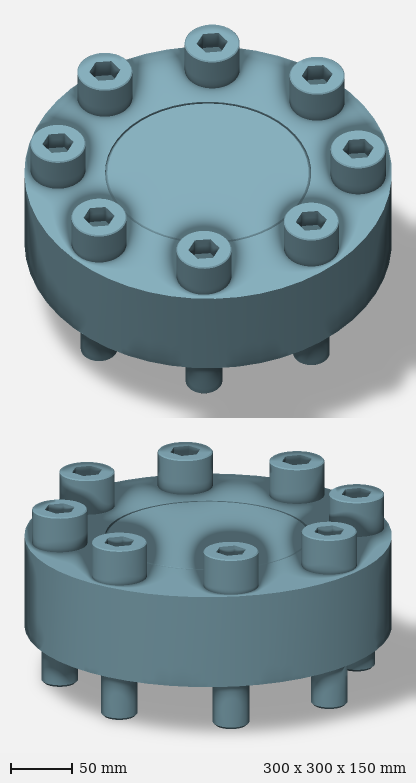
import cadquery as cq

flange_diameter = 300.0
flange_thickness = 78.0

boss_diameter = 205.0
boss_height = 3.5

plug_diameter = 168.3
plug_chamfer = 2.0

bolt_count = 8
bolt_circle_diameter = 245.0
bolt_diameter = 30.0
bolt_end_chamfer = 2.0
head_diameter = 1.5 * bolt_diameter
head_height = bolt_diameter
head_chamfer = 1.0
socket_width_across_corners = 25.5
socket_depth = 15.5

overall_height = 150.0
shank_length = overall_height - head_height


def flange():
    """Disc with the low boss on its underside."""
    disc = cq.Workplane("XY").circle(flange_diameter / 2).extrude(-flange_thickness)
    boss_length = flange_thickness + boss_height
    boss = cq.Workplane("XY").circle(boss_diameter / 2).extrude(-boss_length)
    return disc.union(boss)


def plug_groove():
    """Ring cut with a vertical outer wall; its inner wall is the plug chamfer."""
    outer_radius = plug_diameter / 2
    return (
        cq.Workplane("XZ")
        .moveTo(outer_radius, 0)
        .lineTo(outer_radius, -plug_chamfer)
        .lineTo(outer_radius - plug_chamfer, 0)
        .close()
        .revolve(360, (0, 0, 0), (0, 1, 0))
    )


def bolt():
    """Socket head bolt on the Z axis, its head seated at Z = 0."""
    head = cq.Workplane("XY").circle(head_diameter / 2).extrude(head_height)
    head = head.faces(">Z").chamfer(head_chamfer)
    shank = cq.Workplane("XY").circle(bolt_diameter / 2).extrude(-shank_length)
    shank = shank.faces("<Z").chamfer(bolt_end_chamfer)
    socket = (
        cq.Workplane("XY", origin=(0, 0, head_height))
        .polygon(6, socket_width_across_corners)
        .extrude(-socket_depth)
        .rotate((0, 0, 0), (0, 0, 1), 90)
    )
    return head.union(shank).cut(socket)


result = flange().cut(plug_groove())

bolt_pitch = 360 / bolt_count
bolt_places = cq.Workplane("XY").polarArray(
    bolt_circle_diameter / 2, bolt_pitch / 2, 360, bolt_count, rotate=False
)
for place in bolt_places.vals():
    position, _ = place.toTuple()
    result = result.union(bolt().translate(position))